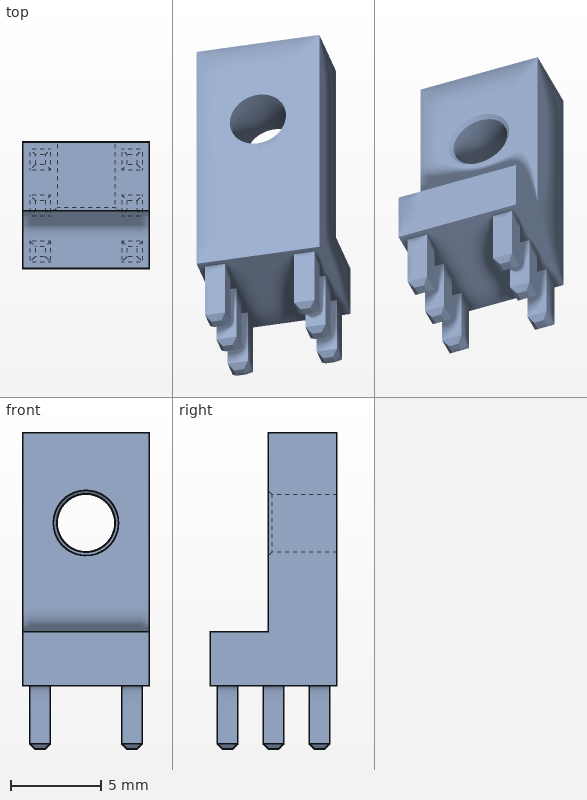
import cadquery as cq

body_width = 7.0
body_depth = 7.0
body_height = 14.0
base_height = 3.0
upright_thickness = 3.8

hole_diameter = 3.2
hole_height = 9.0
hole_chamfer = 0.2

pin_size = 1.15
pin_length = 3.5
pin_pitch = 2.54
pin_tip_chamfer = 0.3
pin_columns = (-1, 1)
pin_rows = (-1, 0, 1)

front_y = -body_depth / 2
rear_y = body_depth / 2
upright_front_y = rear_y - upright_thickness


def make_body():
    """L profile in the YZ plane, extruded across the width."""
    profile = [
        (front_y, 0),
        (rear_y, 0),
        (rear_y, body_height),
        (upright_front_y, body_height),
        (upright_front_y, base_height),
        (front_y, base_height),
    ]
    return cq.Workplane("YZ").polyline(profile).close().extrude(body_width / 2, both=True)


def make_hole():
    """Through hole along Y, with the cone of its front chamfer."""
    hole_radius = hole_diameter / 2
    mouth_radius = hole_radius + hole_chamfer
    half_section = [
        (0, upright_front_y),
        (mouth_radius, upright_front_y),
        (hole_radius, upright_front_y + hole_chamfer),
        (hole_radius, rear_y),
        (0, rear_y),
    ]
    cutter = cq.Workplane("XY").polyline(half_section).close().revolve(360, (0, 0), (0, 1))
    return cutter.translate((0, 0, hole_height))


def make_pin(x, y):
    """Square pin hanging from the underside, with chamfered tip edges."""
    pin = cq.Workplane("XY").rect(pin_size, pin_size).extrude(-pin_length)
    pin = pin.faces("<Z").chamfer(pin_tip_chamfer)
    return pin.translate((x, y, 0))


result = make_body().cut(make_hole())
for column in pin_columns:
    for row in pin_rows:
        result = result.union(make_pin(column * pin_pitch, row * pin_pitch))